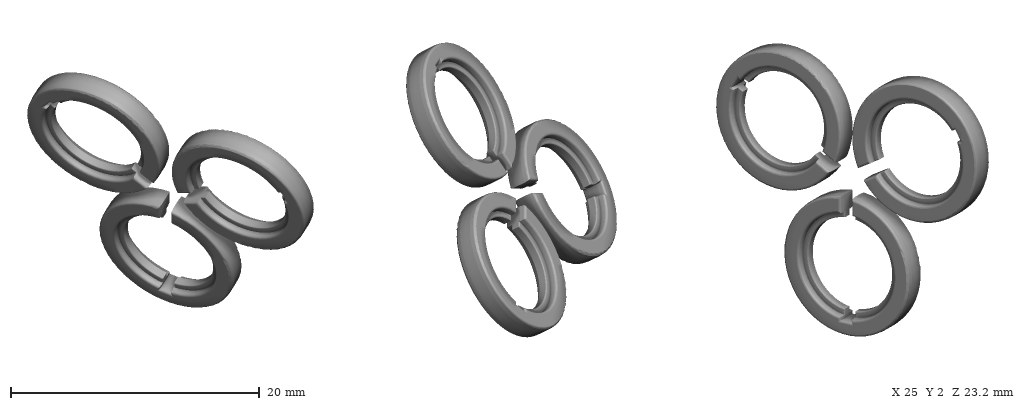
import cadquery as cq
import math

OUTER_RADIUS = 6.0
WASHER_BORE_RADIUS = 4.5
THICKNESS = 2.0
STRAIGHT_WIDTH = 1.0
TAPER = 0.05
FACE_FILLET = 0.2

RIB_BORE_RADIUS = 4.0
RIB_WIDTH = 0.8
RIB_FILLET = 0.1

SLOT_WIDTH = 1.0
NOTCH_RADIUS = 4.75

RING_COUNT = 3
RING_PITCH_ANGLE = 360 / RING_COUNT
OVERALL_WIDTH = 24.95
RING_SPACING = OVERALL_WIDTH - 2 * OUTER_RADIUS
LAYOUT_RADIUS = RING_SPACING / 2 / math.sin(math.radians(RING_PITCH_ANGLE / 2))

WASHER_WALL = [
    (TAPER, -THICKNESS / 2),
    (0.0, -STRAIGHT_WIDTH / 2),
    (0.0, STRAIGHT_WIDTH / 2),
    (TAPER, THICKNESS / 2),
]
GAP_REACH = OUTER_RADIUS + SLOT_WIDTH


def slot_cutter(end_z):
    """Radial slot from the ring axis to end_z that widens toward both faces like the washer walls."""
    sections = []
    for shift, y in WASHER_WALL:
        half_width = SLOT_WIDTH / 2 + shift
        shifted_end = end_z + math.copysign(shift, end_z)
        corners = [
            cq.Vector(-half_width, y, 0),
            cq.Vector(half_width, y, 0),
            cq.Vector(half_width, y, shifted_end),
            cq.Vector(-half_width, y, shifted_end),
        ]
        sections.append(cq.Wire.makePolygon(corners, close=True))
    return cq.Workplane(cq.Solid.makeLoft(sections, True))


def cut_slots(blank):
    """Cut the gap at the top (+Z) and the notch at the bottom (-Z)."""
    return blank.cut(slot_cutter(GAP_REACH)).cut(slot_cutter(-NOTCH_RADIUS))


def washer():
    """Split and notched washer about the Y axis, with tapered walls and rounded face edges."""
    outer_wall = [(OUTER_RADIUS - shift, y) for shift, y in WASHER_WALL]
    bore_wall = [(WASHER_BORE_RADIUS + shift, y) for shift, y in reversed(WASHER_WALL)]
    profile = cq.Workplane("XY").polyline(outer_wall + bore_wall).close()
    blank = profile.revolve(360, (0, 0, 0), (0, 1, 0))
    return cut_slots(blank).faces("<Y or >Y").edges().fillet(FACE_FILLET)


def rib():
    """Inner flange in two arcs; every face edge is rounded except the one against the washer."""
    flange = (
        cq.Workplane("XZ", origin=(0, RIB_WIDTH / 2, 0))
        .circle(WASHER_BORE_RADIUS)
        .circle(RIB_BORE_RADIUS)
        .extrude(RIB_WIDTH)
    )
    arcs = cut_slots(flange)
    faces = arcs.faces("<Y or >Y")
    slot_edges = faces.edges("%LINE")
    bore_edges = faces.edges(cq.selectors.RadiusNthSelector(0))
    return slot_edges.add(bore_edges).fillet(RIB_FILLET)


def split_ring():
    """One ring: the washer with its rib, gap at the top and notch at the bottom."""
    return washer().union(rib())


rings = []
for index in range(RING_COUNT):
    ring = split_ring().translate((0, 0, -LAYOUT_RADIUS))
    rings.append(ring.rotate((0, 0, 0), (0, 1, 0), index * RING_PITCH_ANGLE).val())

result = cq.Compound.makeCompound(rings)